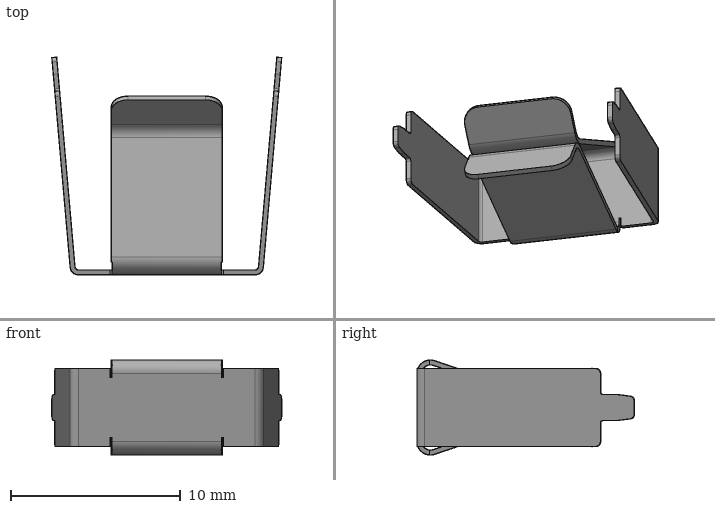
import cadquery as cq
import math

overall_width = 13.54
overall_depth = 12.82
overall_height = 5.6
sheet = 0.3

wall_height = 4.6
splay_angle = 5.0
corner_outer_radius = 0.5
tab_length = 2.0
tab_straight_length = 1.0
tab_root_half_width = 0.77
tab_tip_half_width = 0.64
plate_corner_radius = 0.3
tab_root_radius = 0.15
tab_tip_radius = 0.3

tongue_width = 6.54
tongue_outer_radius = 0.8
tongue_slope = 18.7
tongue_flat_length = 7.43
contact_inner_radius = 0.7
flange_slope = 50.0
flange_length = 2.25
flange_corner_radius = 1.0

slot_inner_x = 3.22
slot_width = 0.11
slot_bottom_z = 1.77
slot_depth = 0.75

splay_sin = math.sin(math.radians(splay_angle))
splay_cos = math.cos(math.radians(splay_angle))
corner_inner_radius = corner_outer_radius - sheet
corner_mid_radius = corner_outer_radius - sheet / 2
plate_start_y = corner_outer_radius - corner_inner_radius * splay_sin
plate_length = (overall_depth - plate_start_y) / splay_cos
plate_body_length = plate_length - tab_length
corner_center_x = overall_width / 2 - corner_outer_radius * splay_cos - plate_length * splay_sin
tongue_start_z = overall_height / 2 - tongue_outer_radius


def bent_strip(plane, start, heading, segments, width):
    """Extrude a bent sheet profile symmetrically about a plane.

    The middle of the sheet starts at `start` in the direction `heading` (degrees). Each segment
    is (length, 0) for a flat or (middle radius, turn in degrees, positive to the left) for a bend.
    """
    def offset(point, angle, distance):
        radians = math.radians(angle)
        x, y = point
        return x + distance * math.cos(radians), y + distance * math.sin(radians)

    def sides(point, angle):
        return offset(point, angle + 90, sheet / 2), offset(point, angle - 90, sheet / 2)

    middle = start
    left, right = sides(middle, heading)
    profile = cq.Workplane(plane).moveTo(*left)
    way_back = []
    for size, turn in segments:
        previous_right = right
        if turn == 0:
            middle = offset(middle, heading, size)
            left, right = sides(middle, heading)
            profile = profile.lineTo(*left)
            way_back.append((None, previous_right))
            continue
        to_center = math.copysign(90, turn)
        center = offset(middle, heading + to_center, size)
        halfway = offset(center, heading - to_center + turn / 2, size)
        middle = offset(center, heading - to_center + turn, size)
        left_halfway, right_halfway = sides(halfway, heading + turn / 2)
        heading += turn
        left, right = sides(middle, heading)
        profile = profile.threePointArc(left_halfway, left)
        way_back.append((right_halfway, previous_right))
    profile = profile.lineTo(*right)
    for halfway, end in reversed(way_back):
        if halfway is None:
            profile = profile.lineTo(*end)
        else:
            profile = profile.threePointArc(halfway, end)
    return profile.close().extrude(width / 2, both=True)


def back_wall():
    """Flat wall with a bend towards a side plate at each end."""
    bend = (corner_mid_radius, 90 - splay_angle)
    flat = (2 * corner_center_x, 0)
    start = (
        -corner_center_x - corner_mid_radius * splay_cos,
        corner_outer_radius - corner_mid_radius * splay_sin,
    )
    return bent_strip("XY", start, splay_angle - 90, [bend, flat, bend], wall_height)


def side_plate():
    """Right-hand side plate with its tapered end tab, starting where the corner bend ends."""
    origin = (
        corner_center_x + corner_inner_radius * splay_cos,
        corner_outer_radius - corner_inner_radius * splay_sin,
        0,
    )
    plane = cq.Plane(origin=origin, xDir=(splay_sin, splay_cos, 0), normal=(splay_cos, -splay_sin, 0))
    upper_edge = [
        (0, wall_height / 2),
        (plate_body_length, wall_height / 2),
        (plate_body_length, tab_root_half_width),
        (plate_body_length + tab_straight_length, tab_root_half_width),
        (plate_length, tab_tip_half_width),
    ]
    lower_edge = [(x, -y) for x, y in reversed(upper_edge)]
    plate = cq.Workplane(plane).polyline(upper_edge + lower_edge).close().extrude(sheet)

    rounded_corners = [
        (upper_edge[1], plate_corner_radius),
        (upper_edge[2], tab_root_radius),
        (upper_edge[4], tab_tip_radius),
    ]
    for (x, y), radius in rounded_corners:
        for side in (1, -1):
            corner = plane.toWorldCoords((x, side * y, sheet / 2))
            plate = plate.edges(cq.NearestToPointSelector(corner.toTuple())).fillet(radius)
    return plate


def upper_tongue():
    """Tongue rising from the wall, sloping down to the contact bend and up again to its flange."""
    contact_mid_radius = contact_inner_radius + sheet / 2
    segments = [
        (tongue_outer_radius - sheet / 2, -90 - tongue_slope),
        (tongue_flat_length, 0),
        (contact_mid_radius, tongue_slope + flange_slope),
        (flange_length, 0),
    ]
    tongue = bent_strip("YZ", (sheet / 2, tongue_start_z), 90, segments, tongue_width)
    tip_corners = tongue.faces(">Y").edges("not |X")
    return tip_corners.fillet(flange_corner_radius)


def tongue_opening():
    """Wall material removed where the tongue bend replaces the wall's edge."""
    opening_height = wall_height / 2 - tongue_start_z
    return (
        cq.Workplane("XY", origin=(0, sheet / 2, tongue_start_z))
        .box(tongue_width, sheet, opening_height, centered=(True, True, False))
    )


def relief_slot(side):
    """Slot at one end of the upper tongue bend; it also narrows the start of the bend."""
    slot_center_x = side * (slot_inner_x + slot_width / 2)
    slot_height = overall_height / 2 - slot_bottom_z
    return (
        cq.Workplane("XY", origin=(slot_center_x, slot_depth / 2, slot_bottom_z))
        .box(slot_width, slot_depth, slot_height, centered=(True, True, False))
    )


plate = side_plate()
tongue = upper_tongue()
opening = tongue_opening()

clip = back_wall().union(plate).union(plate.mirror("YZ"))
clip = clip.cut(opening).cut(opening.mirror("XY"))
clip = clip.union(tongue).union(tongue.mirror("XY"))
for side in (1, -1):
    slot = relief_slot(side)
    clip = clip.cut(slot).cut(slot.mirror("XY"))

result = clip